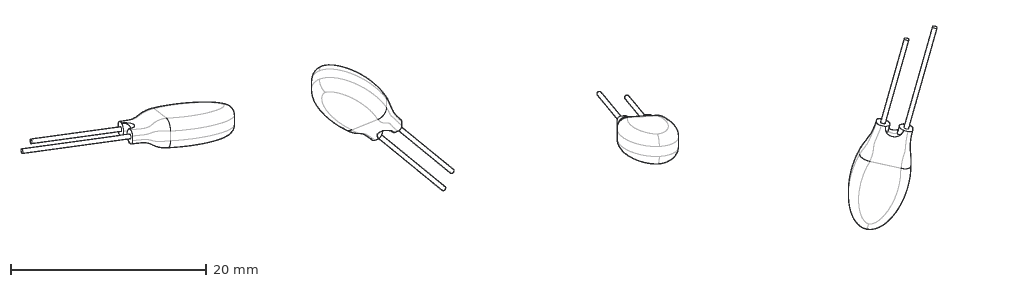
import cadquery as cq
import math

body_length = 12.0
body_width = 6.0
body_thickness = 3.17
ellipse_half_length = 5.7
rim_radius = 1.05

shoulder_y = 3.9
waist_y = 2.8
neck_flat_y = 1.2
tip_half_width = 1.92
tip_thickness = 1.5
tip_corner_radius = 0.5
concave_share = 0.4
neck_steps = 12

lead_pitch = 2.47
lead_diameter = 0.5
long_lead = 12.0
short_lead = 9.95
lead_embed = 0.48
leg_radius = tip_thickness / 2
arch_radius = 0.95

ellipse_half_width = body_width / 2
ellipse_center_y = body_length - ellipse_half_length


def ellipse_x(y):
    """Half width of the ellipse at height y."""
    return ellipse_half_width * math.sqrt(1 - ((y - ellipse_center_y) / ellipse_half_length) ** 2)


def half_width(y):
    """Ellipse above the waist, then a concave arc that ends parallel to Y at the tip."""
    if y >= waist_y:
        return ellipse_x(y)
    flare = ellipse_x(waist_y) - tip_half_width
    arc_radius = (waist_y ** 2 + flare ** 2) / (2 * flare)
    return tip_half_width + arc_radius - math.sqrt(arc_radius ** 2 - y ** 2)


def half_thickness(y):
    """Flat tip, concave arc, tangent convex arc, flat body."""
    if y <= neck_flat_y:
        return tip_thickness / 2
    run = shoulder_y - neck_flat_y
    rise = (body_thickness - tip_thickness) / 2
    radius_sum = (run ** 2 + rise ** 2) / (2 * rise)
    concave_radius = concave_share * radius_sum
    convex_radius = radius_sum - concave_radius
    if y < neck_flat_y + concave_share * run:
        sag = concave_radius - math.sqrt(concave_radius ** 2 - (y - neck_flat_y) ** 2)
        return tip_thickness / 2 + sag
    sag = convex_radius - math.sqrt(convex_radius ** 2 - (shoulder_y - y) ** 2)
    return body_thickness / 2 - sag


def corner_radius(y):
    """Corner rounding grows slowly at first, then faster, as the neck thickens."""
    growth = (half_thickness(y) - tip_thickness / 2) / ((body_thickness - tip_thickness) / 2)
    return tip_corner_radius + growth ** 2 * (rim_radius - tip_corner_radius)


def xz_plane(y):
    """Plane across the part at height y, with its normal along -Y."""
    return cq.Workplane("XZ", origin=(0, y, 0))


def neck_section(y):
    """Rounded rectangle across the neck at height y, as a wire."""
    outline = cq.Sketch().rect(2 * half_width(y), 2 * half_thickness(y))
    outline = outline.vertices().fillet(corner_radius(y))
    return outline.reset().faces().val().outerWire().moved(xz_plane(y).plane.location)


def make_head():
    ellipse = (
        cq.Workplane("XY", origin=(0, ellipse_center_y, -body_thickness / 2))
        .ellipse(ellipse_half_width, ellipse_half_length)
        .extrude(body_thickness)
        .faces("<Z or >Z").edges().fillet(rim_radius)
    )
    keep = xz_plane(body_length).rect(2 * body_width, 2 * body_thickness).extrude(body_length - shoulder_y)
    return ellipse.intersect(keep)


def make_neck():
    sections = [neck_section(shoulder_y * step / neck_steps) for step in range(neck_steps + 1)]
    return cq.Workplane(cq.Solid.makeLoft(sections))


def cylinder_along_y(x, radius, start_y, end_y):
    return xz_plane(end_y).center(x, 0).circle(radius).extrude(end_y - start_y)


neck = make_neck()
arch = cq.Workplane("XY").circle(arch_radius).extrude(body_thickness, both=True)
result = make_head().union(neck.cut(arch))

for lead_x, lead_length in ((-lead_pitch / 2, short_lead), (lead_pitch / 2, long_lead)):
    leg = cylinder_along_y(lead_x, leg_radius, 0, arch_radius).intersect(neck)
    lead = cylinder_along_y(lead_x, lead_diameter / 2, -lead_length, lead_embed)
    result = result.union(leg).union(lead)